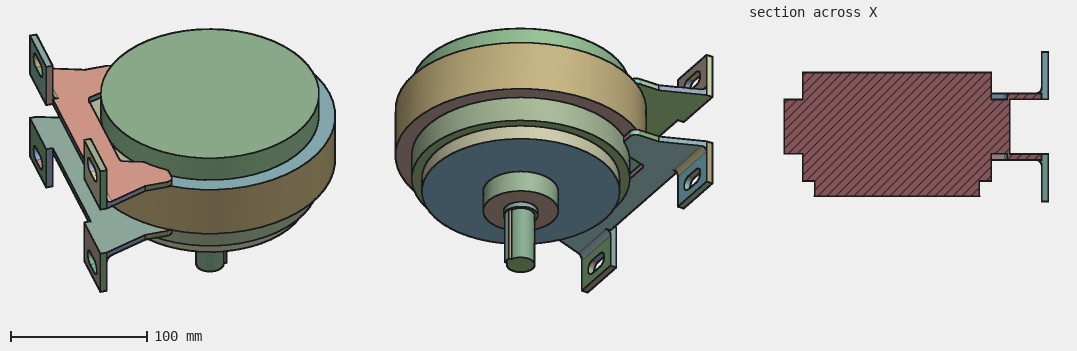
import cadquery as cq

RIM_DIAMETER = 184.0
RIM_HEIGHT = 40.0
CAP_DIAMETER = 160.0
CAP_HEIGHT = 19.9
STEP_DIAMETER = 145.0
STEP_HEIGHT = 11.2
HUB_DIAMETER = 55.0
HUB_HEIGHT = 16.8
COLLAR_DIAMETER = 25.0
COLLAR_HEIGHT = 4.0
SHAFT_DIAMETER = 20.5
KEY_WIDTH = 6.0
KEY_TOP = 12.0

OVERALL_HEIGHT = 169.5
OVERALL_DEPTH = 203.0
PLATE_THICKNESS = 4.5
PLATE_BACK_Y = -51.0
PLATE_WAIST_Y = -72.7
PLATE_WAIST_HALF_WIDTH = 75.3
PLATE_CORNER_RADIUS = 5.0
NOTCH_FLOOR_Y = -81.2
NOTCH_FLOOR_HALF_WIDTH = 40.8
NOTCH_MOUTH_Y = -64.5
NOTCH_MOUTH_HALF_WIDTH = 46.5
NOTCH_CORNER_RADIUS = 4.0
FOOT_THICKNESS = 5.0
FOOT_HEIGHT = 35.0
FOOT_INNER_X = 47.3
FOOT_OUTER_X = 88.0
BEND_RADIUS = 4.0
SLOT_LENGTH = 22.5
SLOT_WIDTH = 11.4
SLOT_HEIGHT = 22.1

RIM_TOP = RIM_HEIGHT / 2
FOOT_FRONT_Y = RIM_DIAMETER / 2 - OVERALL_DEPTH
FOOT_BACK_Y = FOOT_FRONT_Y + FOOT_THICKNESS
FOOT_WIDTH = FOOT_OUTER_X - FOOT_INNER_X
FOOT_CENTRE_X = (FOOT_OUTER_X + FOOT_INNER_X) / 2
SHAFT_END = RIM_TOP + FOOT_HEIGHT - OVERALL_HEIGHT


def cylinder(diameter, bottom, top):
    return cq.Workplane("XY").workplane(offset=bottom).circle(diameter / 2).extrude(top - bottom)


def make_drum():
    """Rim and upper cap, with the lower steps stacked downwards to the shaft."""
    drum = cylinder(RIM_DIAMETER, -RIM_TOP, RIM_TOP)
    drum = drum.union(cylinder(CAP_DIAMETER, RIM_TOP, RIM_TOP + CAP_HEIGHT))
    top = -RIM_TOP
    for diameter, height in (
        (CAP_DIAMETER, CAP_HEIGHT),
        (STEP_DIAMETER, STEP_HEIGHT),
        (HUB_DIAMETER, HUB_HEIGHT),
        (COLLAR_DIAMETER, COLLAR_HEIGHT),
    ):
        drum = drum.union(cylinder(diameter, top - height, top))
        top -= height
    shaft = cylinder(SHAFT_DIAMETER, SHAFT_END, top)
    key = (
        cq.Workplane("XY")
        .workplane(offset=SHAFT_END)
        .center(0, KEY_TOP / 2)
        .rect(KEY_WIDTH, KEY_TOP)
        .extrude(top - SHAFT_END)
    )
    return drum.union(shaft).union(key)


def plate_outline(height):
    """Bracket plan outline, extruded up from the rim face."""
    return (
        cq.Workplane("XY")
        .workplane(offset=RIM_TOP)
        .polyline([
            (-FOOT_OUTER_X, FOOT_BACK_Y),
            (FOOT_OUTER_X, FOOT_BACK_Y),
            (PLATE_WAIST_HALF_WIDTH, PLATE_WAIST_Y),
            (PLATE_WAIST_HALF_WIDTH, PLATE_BACK_Y),
            (-PLATE_WAIST_HALF_WIDTH, PLATE_BACK_Y),
            (-PLATE_WAIST_HALF_WIDTH, PLATE_WAIST_Y),
        ])
        .close()
        .extrude(height)
    )


def make_plate():
    plate = plate_outline(PLATE_THICKNESS).edges("|Z and >Y").fillet(PLATE_CORNER_RADIUS)
    notch = (
        cq.Workplane("XY")
        .workplane(offset=RIM_TOP)
        .polyline([
            (-NOTCH_FLOOR_HALF_WIDTH, NOTCH_FLOOR_Y),
            (NOTCH_FLOOR_HALF_WIDTH, NOTCH_FLOOR_Y),
            (NOTCH_MOUTH_HALF_WIDTH, NOTCH_MOUTH_Y),
            (-NOTCH_MOUTH_HALF_WIDTH, NOTCH_MOUTH_Y),
        ])
        .close()
        .extrude(PLATE_THICKNESS)
        .edges("|Z and <Y")
        .fillet(NOTCH_CORNER_RADIUS)
    )
    return plate.cut(notch)


def make_foot(side):
    """Upright slotted foot on one side (+1 or -1 along X)."""
    foot = cq.Workplane("XY").box(FOOT_WIDTH, FOOT_THICKNESS, FOOT_HEIGHT).translate(
        (side * FOOT_CENTRE_X, FOOT_FRONT_Y + FOOT_THICKNESS / 2, RIM_TOP + FOOT_HEIGHT / 2)
    )
    slot = (
        cq.Workplane("XZ", origin=(side * FOOT_CENTRE_X, FOOT_BACK_Y, RIM_TOP + SLOT_HEIGHT))
        .slot2D(SLOT_LENGTH, SLOT_WIDTH)
        .extrude(FOOT_THICKNESS)
    )
    return foot.cut(slot)


def make_bend(side):
    """Rounded inside corner between plate and foot, trimmed to the plate outline."""
    plate_top = RIM_TOP + PLATE_THICKNESS
    start_x = FOOT_INNER_X if side > 0 else -FOOT_OUTER_X
    block = cq.Workplane("XY").box(FOOT_WIDTH, BEND_RADIUS, BEND_RADIUS, centered=False).translate(
        (start_x, FOOT_BACK_Y, plate_top)
    )
    hollow = (
        cq.Workplane("YZ", origin=(start_x, FOOT_BACK_Y + BEND_RADIUS, plate_top + BEND_RADIUS))
        .circle(BEND_RADIUS)
        .extrude(FOOT_WIDTH)
    )
    return block.cut(hollow).intersect(plate_outline(PLATE_THICKNESS + BEND_RADIUS))


def make_upper_bracket():
    bracket = make_plate()
    for side in (-1, 1):
        bracket = bracket.union(make_foot(side)).union(make_bend(side))
    return bracket


upper_bracket = make_upper_bracket()
lower_bracket = upper_bracket.mirror("XY")
result = make_drum().union(upper_bracket).union(lower_bracket)